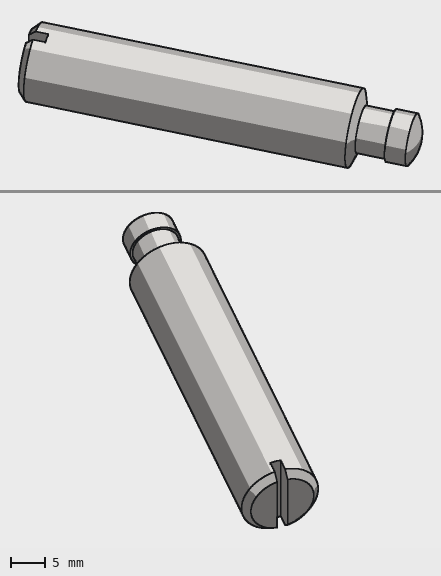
import cadquery as cq

length = 60.0
body_radius = 12.0 / 2
neck_radius = 7.2 / 2
head_radius = 8.0 / 2

body_end = 50.95
head_start = 55.5
dome_start = 58.7

slotted_end_chamfer = 1.1
shoulder_length = 0.9
slot_width = 1.6
slot_depth = 3.0


def make_pin():
    """Revolve the half profile of body, neck and domed head about X."""
    dome_height = length - dome_start
    dome_radius = (head_radius**2 + dome_height**2) / (2 * dome_height)
    arc_mid_radius = head_radius / 2
    arc_mid_x = length - dome_radius + (dome_radius**2 - arc_mid_radius**2) ** 0.5
    profile = (
        cq.Workplane("XY")
        .moveTo(0, 0)
        .lineTo(0, body_radius - slotted_end_chamfer)
        .lineTo(slotted_end_chamfer, body_radius)
        .lineTo(body_end - shoulder_length, body_radius)
        .lineTo(body_end, neck_radius)
        .lineTo(head_start, neck_radius)
        .lineTo(head_start, head_radius)
        .lineTo(dome_start, head_radius)
        .threePointArc((arc_mid_x, arc_mid_radius), (length, 0))
        .close()
    )
    return profile.revolve(360, (0, 0, 0), (1, 0, 0))


def make_slot():
    """Screwdriver slot across the full end face, running along Z."""
    return cq.Workplane("XY").box(
        slot_depth, slot_width, 2 * body_radius, centered=(False, True, True)
    )


result = make_pin().cut(make_slot())